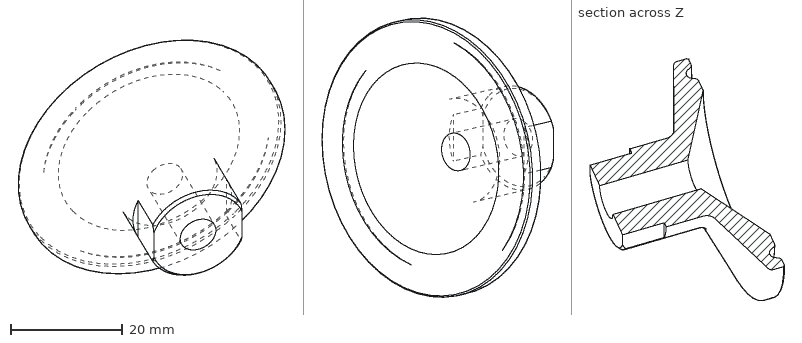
import cadquery as cq
import math

length = 25.0
rim_radius = 25.25
rim_front_chamfer = 0.3
rim_back_fillet = 0.8
rim_width = 2.25
flange_slope = math.radians(20)
hub_radius = 9.5
hub_fillet = 1.95
hub_chamfer = 0.55

flat_offset = 8.5
flat_start = 17.0

mouth_radius = 17.4
bore_radius = 3.45
funnel_slope = math.radians(30)

groove_radius = 21.7
groove_half_width = 2.0
groove_lip_width = 0.8
groove_floor_half_width = 1.0
groove_wall_tilt = math.radians(25)


def make_body():
    """Revolve the outer profile: flat rim, conical back and cylindrical hub."""
    tangent_x = rim_width + rim_back_fillet * math.cos(flange_slope)
    tangent_r = rim_radius - rim_back_fillet * (1 - math.sin(flange_slope))
    mid_angle = (math.pi / 2 + flange_slope) / 2
    rim_mid = (
        rim_width + rim_back_fillet * math.cos(mid_angle),
        rim_radius - rim_back_fillet * (1 - math.sin(mid_angle)),
    )

    cone_end_r = hub_radius + hub_fillet * (1 - math.sin(flange_slope))
    cone_end_x = tangent_x + (tangent_r - cone_end_r) * math.tan(flange_slope)
    hub_start = cone_end_x + hub_fillet * math.cos(flange_slope)
    hub_mid = (
        hub_start - hub_fillet * math.cos(mid_angle),
        hub_radius + hub_fillet * (1 - math.sin(mid_angle)),
    )

    profile = (
        cq.Workplane("XY")
        .lineTo(0, rim_radius - rim_front_chamfer)
        .lineTo(rim_front_chamfer, rim_radius)
        .lineTo(rim_width, rim_radius)
        .threePointArc(rim_mid, (tangent_x, tangent_r))
        .lineTo(cone_end_x, cone_end_r)
        .threePointArc(hub_mid, (hub_start, hub_radius))
        .lineTo(length - hub_chamfer, hub_radius)
        .lineTo(length, hub_radius - hub_chamfer)
        .lineTo(length, 0)
        .close()
    )
    return profile.revolve(360, (0, 0, 0), (1, 0, 0))


def make_funnel():
    """Conical mouth that narrows into the through bore."""
    funnel_depth = (mouth_radius - bore_radius) * math.tan(funnel_slope)
    profile = (
        cq.Workplane("XY")
        .lineTo(0, mouth_radius)
        .lineTo(funnel_depth, bore_radius)
        .lineTo(length, bore_radius)
        .lineTo(length, 0)
        .close()
    )
    return profile.revolve(360, (0, 0, 0), (1, 0, 0))


def make_groove():
    """Ring groove with rounded lips, short sloped walls and a round floor."""
    turn = math.pi / 2 - groove_wall_tilt
    lip_radius = groove_lip_width / math.sin(turn)
    lip_depth = lip_radius * (1 - math.cos(turn))
    lip_end = groove_half_width - groove_lip_width
    lip_mid_depth = lip_radius * (1 - math.cos(turn / 2))
    lip_mid = groove_half_width - lip_radius * math.sin(turn / 2)

    floor_end = groove_floor_half_width
    floor_radius = floor_end / math.sin(turn)
    wall_end_depth = lip_depth + (lip_end - floor_end) * math.tan(turn)
    depth = wall_end_depth + floor_radius * (1 - math.cos(turn))

    profile = (
        cq.Workplane("XY")
        .moveTo(0, groove_radius + groove_half_width)
        .threePointArc((lip_mid_depth, groove_radius + lip_mid), (lip_depth, groove_radius + lip_end))
        .lineTo(wall_end_depth, groove_radius + floor_end)
        .threePointArc((depth, groove_radius), (wall_end_depth, groove_radius - floor_end))
        .lineTo(lip_depth, groove_radius - lip_end)
        .threePointArc((lip_mid_depth, groove_radius - lip_mid), (0, groove_radius - groove_half_width))
        .close()
    )
    return profile.revolve(360, (0, 0, 0), (1, 0, 0))


def make_flat_cut(side):
    """Block that trims one wrench flat; side is -1 or +1 along Y."""
    cut_length = length - flat_start
    cut_depth = hub_radius - flat_offset
    return cq.Workplane("XY").box(cut_length, cut_depth, 2 * hub_radius).translate(
        (flat_start + cut_length / 2, side * (flat_offset + cut_depth / 2), 0)
    )


result = make_body().cut(make_funnel()).cut(make_groove())
for side in (-1, 1):
    result = result.cut(make_flat_cut(side))